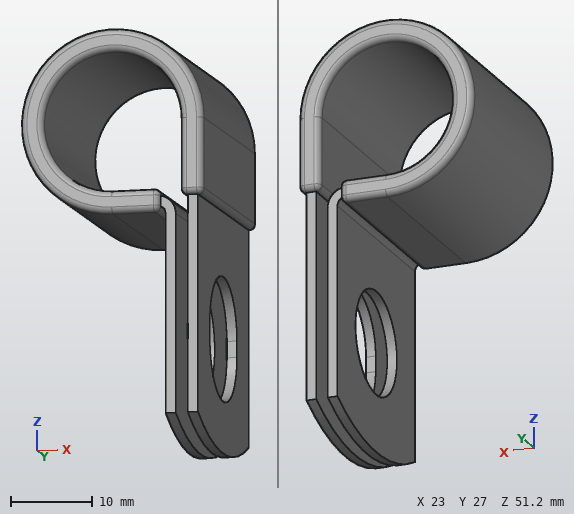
import cadquery as cq
import math

height = 51.2
cushion_width = 27.0
cushion_radius = 11.5

strip_thickness = 1.3
cushion_cover = 0.75
cushion_wall = strip_thickness + 2 * cushion_cover
strip_width = cushion_width - 2 * cushion_cover
bore_radius = cushion_radius - cushion_wall

side_leg_length = 9.5
bottom_leg_length = 6.05

bend_outer_radius = 2.3
bend_inner_radius = bend_outer_radius - strip_thickness
bent_tab_outer_x = 7.95
tab_end_sag = 3.0
hole_diameter = 13.5
tall_hole_length = 15.55
hole_to_tab_end = 14.3

tab_bottom = cushion_radius - height
strip_outer_radius = cushion_radius - cushion_cover
strip_inner_radius = strip_outer_radius - strip_thickness
bend_center_z = -strip_inner_radius - bend_outer_radius
bent_tab_inner_x = bent_tab_outer_x - strip_thickness
bend_center_x = bent_tab_outer_x - bend_outer_radius


def extrude_centered(profile, width):
    """Extrude an XZ profile symmetrically about Y = 0."""
    return profile.extrude(width / 2, both=True)


def is_cushion_rim(edge):
    """True unless the edge is a smooth seam where a leg leaves the loop."""
    center = edge.Center()
    is_side_seam = edge.geomType() == "LINE" and abs(center.z) < 0.0005
    is_bottom_seam = edge.geomType() == "LINE" and abs(center.x) < 0.0005
    return not (is_side_seam or is_bottom_seam)


def make_cushion():
    """Three-quarter loop with two straight legs and rounded rims."""
    diagonal = math.sqrt(0.5)
    profile = (
        cq.Workplane("XZ")
        .moveTo(cushion_radius, -side_leg_length)
        .lineTo(cushion_radius, 0)
        .threePointArc((-cushion_radius * diagonal, cushion_radius * diagonal), (0, -cushion_radius))
        .lineTo(bottom_leg_length, -cushion_radius)
        .lineTo(bottom_leg_length, -bore_radius)
        .lineTo(0, -bore_radius)
        .threePointArc((-bore_radius * diagonal, bore_radius * diagonal), (bore_radius, 0))
        .lineTo(bore_radius, -side_leg_length)
        .close()
    )
    body = extrude_centered(profile, cushion_width)
    return body.edges().filter(is_cushion_rim).fillet(cushion_cover)


def make_straight_tab():
    """Flat tab running straight down from the side leg."""
    profile = (
        cq.Workplane("XZ")
        .moveTo(strip_inner_radius, -side_leg_length)
        .lineTo(strip_outer_radius, -side_leg_length)
        .lineTo(strip_outer_radius, tab_bottom)
        .lineTo(strip_inner_radius, tab_bottom)
        .close()
    )
    return extrude_centered(profile, strip_width)


def make_bent_tab():
    """Tab starting just inside the bottom leg and bending down a quarter turn."""
    profile = (
        cq.Workplane("XZ")
        .moveTo(bend_center_x, -strip_inner_radius)
        .radiusArc((bent_tab_outer_x, bend_center_z), bend_outer_radius)
        .lineTo(bent_tab_outer_x, tab_bottom)
        .lineTo(bent_tab_inner_x, tab_bottom)
        .lineTo(bent_tab_inner_x, bend_center_z)
        .radiusArc((bend_center_x, -strip_outer_radius), -bend_inner_radius)
        .close()
    )
    return extrude_centered(profile, strip_width)


def make_tab_envelope():
    """Tab outline with a curved lower end."""
    half_width = strip_width / 2
    corner_z = tab_bottom + tab_end_sag
    return (
        cq.Workplane("YZ")
        .moveTo(-half_width, 0)
        .lineTo(-half_width, corner_z)
        .threePointArc((0, tab_bottom), (half_width, corner_z))
        .lineTo(half_width, 0)
        .close()
        .extrude(cushion_radius)
    )


def hole_plane():
    """Workplane facing +X, centred on the bolt axis."""
    return cq.Workplane("YZ").center(0, tab_bottom + hole_to_tab_end)


def make_round_hole():
    """Round bolt hole of the bent tab."""
    return hole_plane().circle(hole_diameter / 2).extrude(cushion_radius)


def make_tall_hole():
    """Adjustment hole of the straight tab, stretched along Z."""
    return hole_plane().slot2D(tall_hole_length, hole_diameter, 90).extrude(cushion_radius)


tab_envelope = make_tab_envelope()
straight_tab = make_straight_tab().intersect(tab_envelope).cut(make_tall_hole())
bent_tab = make_bent_tab().intersect(tab_envelope).cut(make_round_hole())
result = make_cushion().union(straight_tab).union(bent_tab)